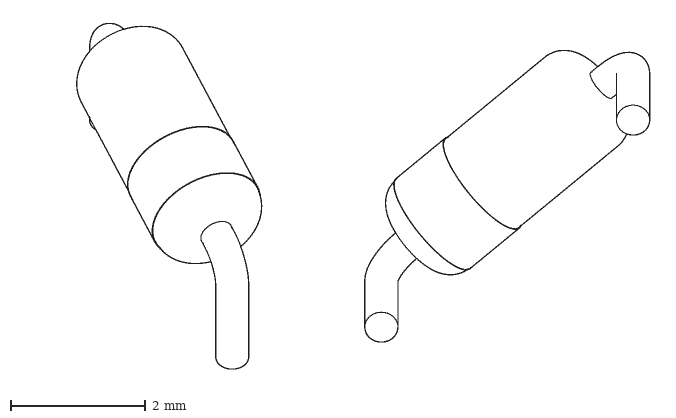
import cadquery as cq

overall_length = 5.58
overall_height = 2.97

body_length = 3.8
body_diameter = 1.72
end_radius = 0.4

band_diameter = 1.74
band_start = 0.5
band_end = body_length / 2 - end_radius

lead_diameter = 0.495
bend_radius = 0.495
lead_x = (overall_length - lead_diameter) / 2
axis_height = overall_height - band_diameter / 2


def make_body():
    """Cylinder centred on X = 0 with rounded ends."""
    return (
        cq.Workplane("YZ", origin=(-body_length / 2, 0, axis_height))
        .circle(body_diameter / 2)
        .extrude(body_length)
        .faces("<X or >X")
        .edges()
        .fillet(end_radius)
    )


def make_band():
    """Thin collar that stands proud of the body."""
    return (
        cq.Workplane("YZ", origin=(band_start, 0, axis_height))
        .circle(band_diameter / 2)
        .extrude(band_end - band_start)
    )


def make_leads():
    """One wire along the body axis, bent down at both ends to Z = 0."""
    bend_x = lead_x - bend_radius
    bend_z = axis_height - bend_radius
    path = (
        cq.Workplane("XZ")
        .moveTo(-lead_x, 0)
        .lineTo(-lead_x, bend_z)
        .tangentArcPoint((-bend_x, axis_height), relative=False)
        .lineTo(bend_x, axis_height)
        .tangentArcPoint((lead_x, bend_z), relative=False)
        .lineTo(lead_x, 0)
    )
    return cq.Workplane("XY", origin=(-lead_x, 0, 0)).circle(lead_diameter / 2).sweep(path)


result = make_body().union(make_band()).union(make_leads())